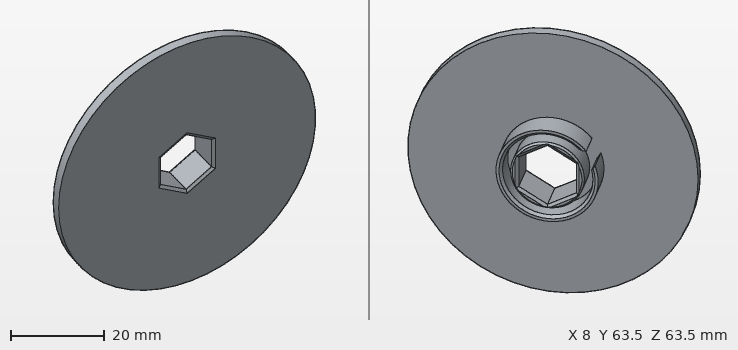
import cadquery as cq
import math

overall_length = 8.0
disc_diameter = 63.5
disc_thickness = 2.35
collar_height = overall_length - disc_thickness

collar_outer_diameter = 22.35
collar_inner_diameter = 19.75
collar_mouth_chamfer = 0.65

hub_diameter = 16.1
hub_height = collar_height
hub_edge_chamfer = 0.45

hex_across_flats = 12.6
hex_chamfer_width = 0.7
hex_chamfer_slope = 33.0
hex_chamfer_depth = hex_chamfer_width * math.tan(math.radians(hex_chamfer_slope))

slot_direction = 30.0
slot_half_angle = 30.0
slot_apex_radius = 14.35


def axial_plane(x):
    """Sketch plane facing -X at position x, with its second axis along +Z."""
    return cq.Workplane(cq.Plane(origin=(x, 0, 0), xDir=(0, -1, 0), normal=(-1, 0, 0)))


def hexagon(x, across_flats):
    """Hexagon sketch with two corners on the Z axis."""
    circumscribed_diameter = across_flats / math.cos(math.radians(30))
    return axial_plane(x).transformed(rotate=(0, 0, 90)).polygon(6, circumscribed_diameter)


def make_disc():
    return axial_plane(disc_thickness).circle(disc_diameter / 2).extrude(disc_thickness)


def slot_cutter():
    """Wedge running from the axis to the slot apex."""
    half_width = slot_apex_radius * math.tan(math.radians(slot_half_angle))
    wedge = (
        axial_plane(0)
        .polyline([(slot_apex_radius, 0), (0, half_width), (0, -half_width)])
        .close()
        .extrude(collar_height)
    )
    return wedge.rotate((0, 0, 0), (1, 0, 0), -slot_direction)


def make_collar():
    collar = (
        axial_plane(0)
        .circle(collar_outer_diameter / 2)
        .circle(collar_inner_diameter / 2)
        .extrude(collar_height)
    )
    inner_mouth_edge = cq.selectors.RadiusNthSelector(0)
    collar = collar.faces("<X").edges(inner_mouth_edge).chamfer(collar_mouth_chamfer)
    return collar.cut(slot_cutter())


def make_hub():
    hub = axial_plane(0).circle(hub_diameter / 2).extrude(hub_height)
    return hub.faces("<X").edges().chamfer(hub_edge_chamfer)


def hex_bore_cutter():
    """Through bore with a flared lead-in at both ends."""
    bore = hexagon(disc_thickness, hex_across_flats).extrude(disc_thickness + hub_height)
    mouth_across_flats = hex_across_flats + 2 * hex_chamfer_width
    taper = 90 - hex_chamfer_slope
    hub_lead_in = hexagon(-hub_height, mouth_across_flats).extrude(-hex_chamfer_depth, taper=taper)
    disc_lead_in = hexagon(disc_thickness, mouth_across_flats).extrude(hex_chamfer_depth, taper=taper)
    return bore.union(hub_lead_in).union(disc_lead_in)


part = make_disc().union(make_collar()).union(make_hub()).cut(hex_bore_cutter())

result = part.translate((collar_height - overall_length / 2, 0, 0))